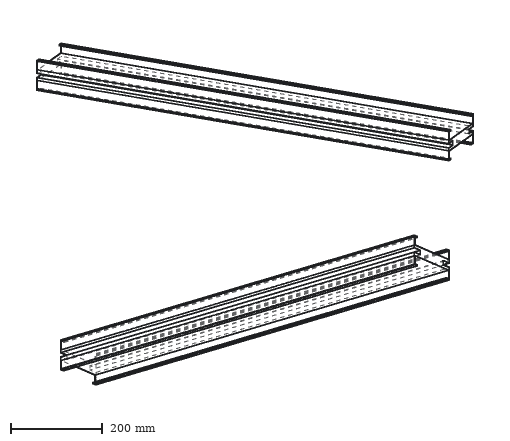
import cadquery as cq

length = 1000.0
width = 120.0
height = 69.0

core_height = 25.0
groove_height = 10.0
groove_depth = 20.0

wall = 2.5
lip_width = 9.5

flange_height = (height - core_height) / 2


def bar(y_size, z_size, y_center, z_center):
    """Full-length rectangular bar centred on the given Y and Z."""
    return cq.Workplane("XY").box(length, y_size, z_size).translate((0, y_center, z_center))


def grooved_core():
    """Central slab with a rectangular groove along both long sides."""
    core = bar(width, core_height, 0, 0)
    for side in (-1, 1):
        groove_y = side * (width - groove_depth) / 2
        core = core.cut(bar(groove_depth, groove_height, groove_y, 0))
    return core


def lipped_flange(side, level):
    """Upright wall and inward lip at one corner of the section."""
    upright_y = side * (width - wall) / 2
    upright_z = level * (height - flange_height) / 2
    upright = bar(wall, flange_height, upright_y, upright_z)

    lip_y = side * (width - lip_width) / 2
    lip_z = level * (height - wall) / 2
    lip = bar(lip_width, wall, lip_y, lip_z)
    return upright.union(lip)


result = grooved_core()
for side in (-1, 1):
    for level in (-1, 1):
        result = result.union(lipped_flange(side, level))